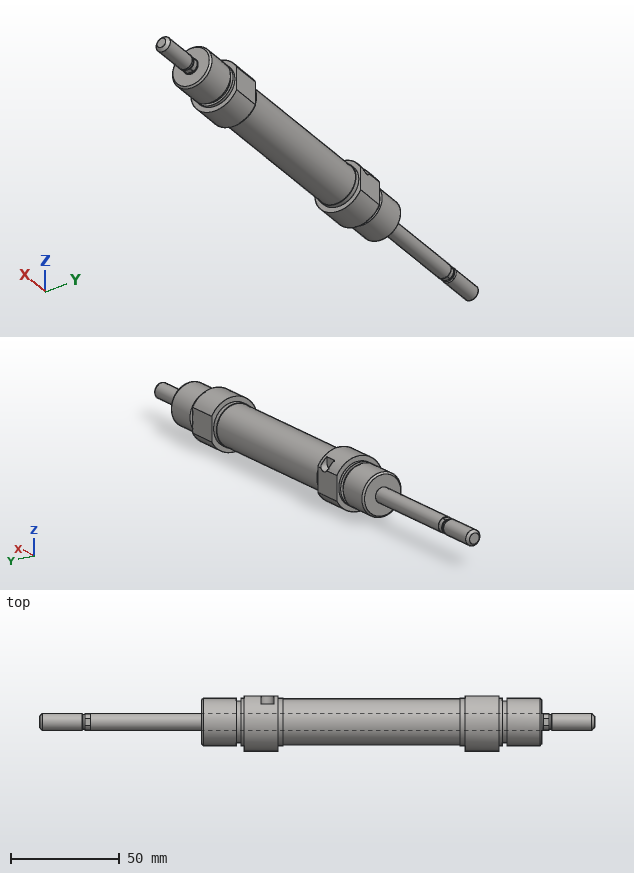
import cadquery as cq


rod_length = 255.0
rod_left_end = -152.5
rod_right_end = rod_left_end + rod_length
rod_dia = 8.0
left_thread_length = 19.5
right_thread_length = 19.6
left_tip_chamfer = 1.3
right_tip_chamfer = 1.5
relief_dia = 7.0
relief_width = 1.5
relief_taper = 0.5
wrench_flat_length = 2.5
wrench_flat_across = 7.0
wrench_dia = 7.6

tube_length = 81.3
tube_dia = 21.5

collar_length = 2.3
head_length = 15.5
flange_length = 1.5
neck_length = 2.0
nose_length = 16.0
nose_dia = 22.0
neck_dia = 19.5
head_dia = 27.0
head_flat_y = 12.0
nose_chamfer = 0.9

port_width = 6.0
port_axis_z = 8.2
port_floor_y = 8.2
port_to_head_edge = 4.8
port_x = -(tube_length / 2 + collar_length + port_to_head_edge)


def cylinder(start_x, length, diameter):
    """Solid cylinder on the X axis running from start_x toward +X."""
    return cq.Workplane("YZ", origin=(start_x, 0, 0)).circle(diameter / 2).extrude(length)


def relief_ring(thread_x, direction):
    """Thread relief groove that tapers down from thread_x; direction is +1 or -1 along X."""
    start_x = min(thread_x, thread_x + direction * relief_width)
    taper = cq.Solid.makeCone(
        rod_dia / 2,
        relief_dia / 2,
        relief_taper,
        pnt=cq.Vector(thread_x, 0, 0),
        dir=cq.Vector(direction, 0, 0),
    )
    core = cylinder(start_x, relief_width, relief_dia).union(cq.Workplane(taper))
    return cylinder(start_x, relief_width, rod_dia).cut(core)


def wrench_flat_cut(start_x):
    """Material outside a slightly slimmer neck with two parallel flats that face +Z and -Z."""
    slab = (
        cq.Workplane("XY")
        .box(wrench_flat_length, rod_dia, wrench_flat_across, centered=(False, True, True))
        .translate((start_x, 0, 0))
    )
    neck = cylinder(start_x, wrench_flat_length, wrench_dia).intersect(slab)
    return cylinder(start_x, wrench_flat_length, rod_dia).cut(neck)


def make_rod():
    rod = cylinder(rod_left_end, rod_length, rod_dia)
    rod = rod.faces("<X").chamfer(left_tip_chamfer)
    rod = rod.faces(">X").chamfer(right_tip_chamfer)

    left_thread_x = rod_left_end + left_thread_length
    right_thread_x = rod_right_end - right_thread_length
    left_flat_x = left_thread_x + relief_width
    right_flat_x = right_thread_x - relief_width - wrench_flat_length

    for thread_x, direction in ((left_thread_x, 1), (right_thread_x, -1)):
        rod = rod.cut(relief_ring(thread_x, direction))
    for flat_x in (left_flat_x, right_flat_x):
        rod = rod.cut(wrench_flat_cut(flat_x))
    return rod


def make_tube():
    tube = cylinder(-tube_length / 2, tube_length, tube_dia)
    return tube.cut(cylinder(-tube_length / 2, tube_length, rod_dia))


def make_right_cover():
    """Stepped cover with a flat on the +Y side of its head and a bore for the rod."""
    collar_x = tube_length / 2
    head_x = collar_x + collar_length
    flange_x = head_x + head_length
    neck_x = flange_x + flange_length
    nose_x = neck_x + neck_length
    cover_length = nose_x + nose_length - collar_x

    beyond_flat = (
        cq.Workplane("XY")
        .box(head_length, head_dia, head_dia, centered=(False, False, True))
        .translate((head_x, head_flat_y, 0))
    )
    head = cylinder(head_x, head_length, head_dia).cut(beyond_flat)
    cover = (
        cylinder(collar_x, collar_length, nose_dia)
        .union(head)
        .union(cylinder(flange_x, flange_length, nose_dia))
        .union(cylinder(neck_x, neck_length, neck_dia))
        .union(cylinder(nose_x, nose_length, nose_dia).faces(">X").chamfer(nose_chamfer))
    )
    return cover.cut(cylinder(collar_x, cover_length, rod_dia))


def port_cut():
    """Round-bottomed recess along Y, open toward +Y and +Z."""
    depth = head_dia / 2 - port_floor_y
    round_bottom = (
        cq.Workplane("XZ", origin=(port_x, port_floor_y, port_axis_z))
        .circle(port_width / 2)
        .extrude(-depth)
    )
    open_top = (
        cq.Workplane("XY")
        .box(port_width, depth, head_dia / 2, centered=(True, False, False))
        .translate((port_x, port_floor_y, port_axis_z))
    )
    return round_bottom.union(open_top)


rod = make_rod()
tube = make_tube()
right_cover = make_right_cover()
left_cover = right_cover.mirror("YZ").cut(port_cut())

result = cq.Compound.makeCompound([rod.val(), tube.val(), left_cover.val(), right_cover.val()])